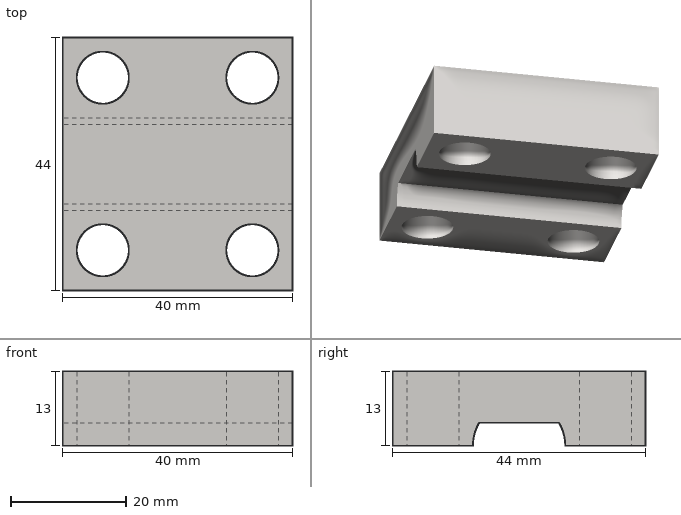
import cadquery as cq

width = 40.0
length = 44.0
height = 13.0

hole_diameter = 9.0
hole_spacing_x = 26.0
hole_spacing_y = 30.0

groove_radius = 8.0
groove_depth = 4.0


def make_block():
    """Block centred on the Z axis, with its bottom face at Z = 0."""
    return cq.Workplane("XY").box(width, length, height, centered=(True, True, False))


def make_holes():
    """Cylinders for the four vertical through holes."""
    return (
        cq.Workplane("XY")
        .rarray(hole_spacing_x, hole_spacing_y, 2, 2)
        .circle(hole_diameter / 2)
        .extrude(height)
    )


def make_groove():
    """Round bar along X, cut flat at the groove depth."""
    bar = cq.Workplane("YZ").circle(groove_radius).extrude(width / 2, both=True)
    flat_limit = cq.Workplane("XY").box(width, 2 * groove_radius, 2 * groove_depth)
    return bar.intersect(flat_limit)


result = make_block().cut(make_holes()).cut(make_groove())